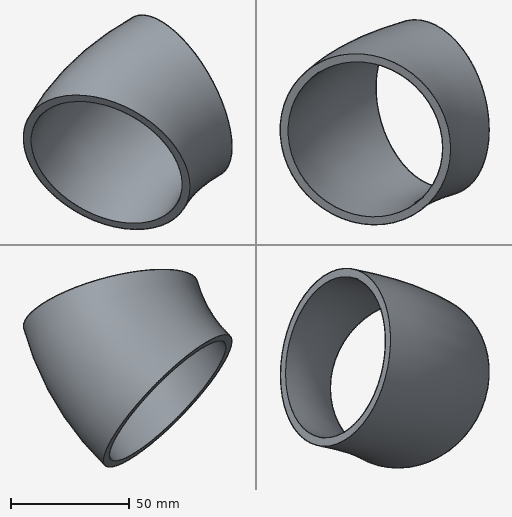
import cadquery as cq

outer_diameter = 76.1
wall = 3.6
bend_radius = 94.95
bend_angle = 30

inner_diameter = outer_diameter - 2 * wall

end_ring = cq.Workplane("XZ").circle(outer_diameter / 2).circle(inner_diameter / 2)

result = end_ring.revolve(bend_angle, (bend_radius, 0.8, 0), (bend_radius, 0, 0))